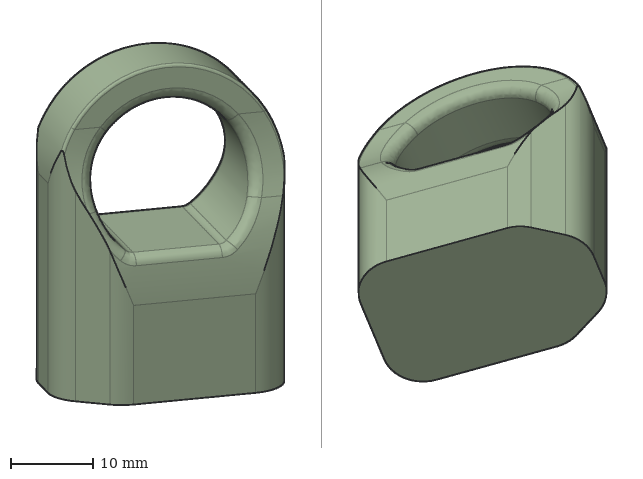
import cadquery as cq
import math

half_width = 9.425
eye_radius = 14.6
total_height = 41.55
eye_center_z = total_height - eye_radius

hole_radius = 10.0
floor_z = eye_center_z - 8.0
floor_corner_radius = 1.5
hole_rim_radius = 1.5
eye_edge_radius = 0.4

corner_radius = 5.0
front_half_flat = 2.0
front_turn = math.radians(56.3)

waist_start_z = 12.77
convex_radius = 30.25
concave_radius = 32.1
waist_lean = math.radians(22.3)
top_lean = math.radians(3.5)

cutter_margin = 5.0
selection_slack = 0.5


def mirrored(point):
    return (-point[0], point[1])


def base_column():
    """Upright column: rounded back corners, slanted and rounded front corners."""
    side_turn = math.pi / 2 - front_turn
    back_y = eye_radius
    front_y = -eye_radius
    front_arc_center_y = front_y + corner_radius

    def front_arc_point(angle):
        x = front_half_flat + corner_radius * math.sin(angle)
        y = front_arc_center_y - corner_radius * math.cos(angle)
        return (x, y)

    front_start = front_arc_point(0)
    front_mid = front_arc_point(front_turn / 2)
    front_end = front_arc_point(front_turn)

    slant_end_x = half_width - corner_radius * (1 - math.cos(side_turn))
    slant_end_y = front_end[1] + (slant_end_x - front_end[0]) * math.tan(front_turn)
    side_arc_center_y = slant_end_y + corner_radius * math.sin(side_turn)

    def side_arc_point(angle):
        x = half_width - corner_radius * (1 - math.cos(angle))
        y = side_arc_center_y - corner_radius * math.sin(angle)
        return (x, y)

    slant_end = side_arc_point(side_turn)
    side_mid = side_arc_point(side_turn / 2)
    side_start = side_arc_point(0)

    back_side = (half_width, back_y - corner_radius)
    back_end = (half_width - corner_radius, back_y)
    corner_inset = corner_radius * (1 - math.sqrt(0.5))
    back_mid = (half_width - corner_inset, back_y - corner_inset)

    outline = (
        cq.Workplane("XY")
        .moveTo(*front_start)
        .threePointArc(front_mid, front_end)
        .lineTo(*slant_end)
        .threePointArc(side_mid, side_start)
        .lineTo(*back_side)
        .threePointArc(back_mid, back_end)
        .lineTo(*mirrored(back_end))
        .threePointArc(mirrored(back_mid), mirrored(back_side))
        .lineTo(*mirrored(side_start))
        .threePointArc(mirrored(side_mid), mirrored(slant_end))
        .lineTo(*mirrored(front_end))
        .threePointArc(mirrored(front_mid), mirrored(front_start))
        .close()
    )
    return outline.extrude(total_height)


def waisted_slab():
    """Slab along Y whose sides draw in from the base to the slim top."""
    convex_center_x = half_width - convex_radius

    def convex_point(angle):
        x = convex_center_x + convex_radius * math.cos(angle)
        z = waist_start_z + convex_radius * math.sin(angle)
        return (x, z)

    inflection = convex_point(waist_lean)
    concave_center_x = inflection[0] + concave_radius * math.cos(waist_lean)
    concave_center_z = inflection[1] + concave_radius * math.sin(waist_lean)

    def concave_point(angle):
        x = concave_center_x - concave_radius * math.cos(angle)
        z = concave_center_z - concave_radius * math.sin(angle)
        return (x, z)

    convex_start = convex_point(0)
    convex_mid = convex_point(waist_lean / 2)
    concave_mid = concave_point((waist_lean + top_lean) / 2)
    taper_start = concave_point(top_lean)
    top_z = total_height + cutter_margin
    top = (taper_start[0] - (top_z - taper_start[1]) * math.tan(top_lean), top_z)
    foot = (half_width, 0)

    outline = (
        cq.Workplane("XZ")
        .moveTo(*foot)
        .lineTo(*convex_start)
        .threePointArc(convex_mid, inflection)
        .threePointArc(concave_mid, taper_start)
        .lineTo(*top)
        .lineTo(*mirrored(top))
        .lineTo(*mirrored(taper_start))
        .threePointArc(mirrored(concave_mid), mirrored(inflection))
        .threePointArc(mirrored(convex_mid), mirrored(convex_start))
        .lineTo(*mirrored(foot))
        .close()
    )
    return outline.extrude(eye_radius + cutter_margin, both=True)


def eye_arch():
    """Straight-sided body with a round top, running along X."""
    outline = (
        cq.Workplane("YZ")
        .moveTo(-eye_radius, 0)
        .lineTo(eye_radius, 0)
        .lineTo(eye_radius, eye_center_z)
        .threePointArc((0, total_height), (-eye_radius, eye_center_z))
        .close()
    )
    return outline.extrude(half_width + cutter_margin, both=True)


def eye_hole():
    """Round hole along X with a flat floor and rounded floor corners."""
    floor_drop = eye_center_z - floor_z
    floor_half_width = math.sqrt(hole_radius**2 - floor_drop**2)
    outline = (
        cq.Workplane("YZ")
        .moveTo(-floor_half_width, floor_z)
        .lineTo(floor_half_width, floor_z)
        .threePointArc((0, eye_center_z + hole_radius), (-floor_half_width, floor_z))
        .close()
    )
    hole = outline.extrude(half_width + cutter_margin, both=True)
    return hole.edges("|X").fillet(floor_corner_radius)


def edges_within(half_y, low_z, high_z):
    """Selector for the edges wholly inside a box that is centred in X and Y."""
    reach = half_width + cutter_margin
    return cq.selectors.BoxSelector((-reach, -half_y, low_z), (reach, half_y, high_z), boundingbox=True)


def rounded_eye_slab():
    """Waisted slab with the eye cut through it and its edges rounded."""
    rim_reach = hole_radius + selection_slack
    rim_edges = edges_within(rim_reach, floor_z - selection_slack, eye_center_z + rim_reach)
    slab = waisted_slab().cut(eye_hole())
    slab = slab.edges(rim_edges).edges("not |X").fillet(hole_rim_radius)

    arch_reach = eye_radius + selection_slack
    top_edges = edges_within(arch_reach, eye_center_z + eye_radius / 2, eye_center_z + arch_reach)
    slab = slab.intersect(eye_arch())
    return slab.edges(top_edges).edges("%ELLIPSE").fillet(eye_edge_radius)


result = rounded_eye_slab().intersect(base_column())